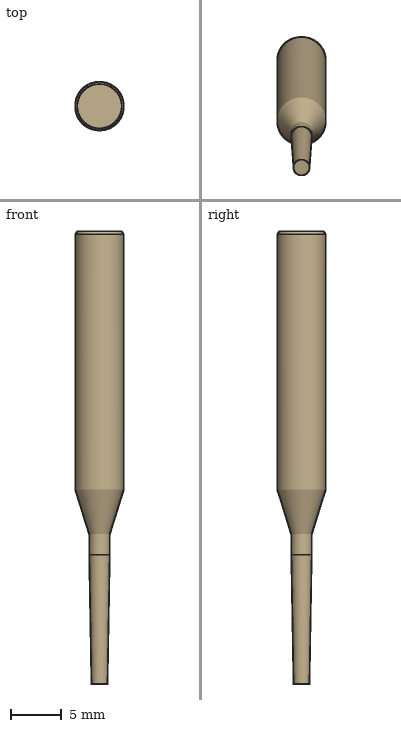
import cadquery as cq
import math

total_length = 44.4
shank_radius = 4.8 / 2

cutter_length = 12.7
neck_length = 2.0
shoulder_length = 4.4

neck_radius = 1.0
cutter_half_angle = 1.0
end_chamfer_radial = 0.2
end_chamfer_height = 0.3

tip_radius = neck_radius - cutter_length * math.tan(math.radians(cutter_half_angle))
shoulder_bottom = cutter_length + neck_length
shoulder_top = shoulder_bottom + shoulder_length


def revolve_profile(points):
    """Revolve a closed (radius, Z) outline about the Z axis."""
    return cq.Workplane("XZ").polyline(points).close().revolve(360, (0, 0), (0, 1))


def make_cutter():
    """Slender cutting end, narrowing towards the flat tip."""
    return revolve_profile([
        (0, 0),
        (tip_radius, 0),
        (neck_radius, cutter_length),
        (0, cutter_length),
    ])


def make_shank():
    """Neck, conical shoulder and cylindrical shank with a chamfered end."""
    return revolve_profile([
        (0, cutter_length),
        (neck_radius, cutter_length),
        (neck_radius, shoulder_bottom),
        (shank_radius, shoulder_top),
        (shank_radius, total_length - end_chamfer_height),
        (shank_radius - end_chamfer_radial, total_length),
        (0, total_length),
    ])


cutter = make_cutter()
shank = make_shank()

result = cq.Compound.makeCompound([cutter.val(), shank.val()])